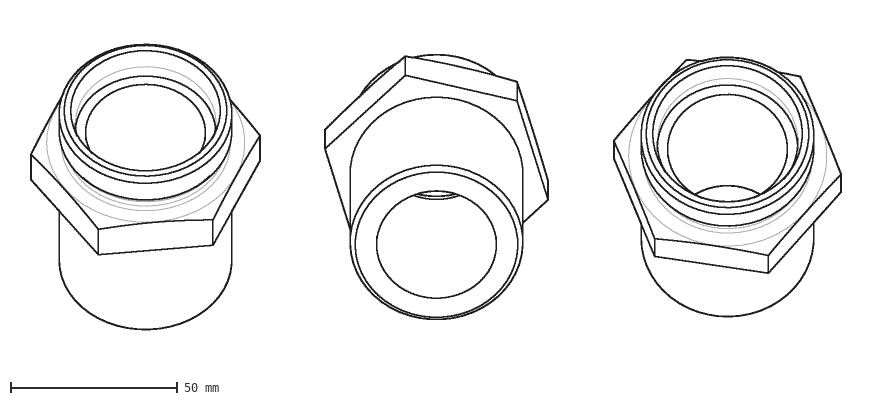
import cadquery as cq
import math

total_height = 77.0
body_radius = 52.0 / 2
edge_chamfer = 1.55

across_flats = 60.0
across_corners = across_flats / math.cos(math.radians(30))
hex_bottom = 47.0
hex_top = 61.05
hex_crown_radius = 29.8
hex_chamfer_angle = 15.0

groove_radius = 49.0 / 2
groove_fillet = 1.0
head_bottom = 67.1
groove_taper_angle = 30.0

bore_radius = 36.0 / 2
socket_radius = 42.3 / 2
socket_depth = 11.0
mouth_radius = 22.5
mouth_depth = 6.15


def make_body():
    """Round body with chamfered ends and an undercut above the collar."""
    taper_angle = math.radians(groove_taper_angle)
    taper_bottom = head_bottom - (body_radius - groove_radius) / math.tan(taper_angle)
    tangent = groove_fillet * math.tan(taper_angle / 2)
    end_radius = body_radius - edge_chamfer
    fillet_mid = groove_fillet * (1 - math.sqrt(0.5))
    return (
        cq.Workplane("XZ")
        .lineTo(end_radius, 0)
        .lineTo(body_radius, edge_chamfer)
        .lineTo(body_radius, hex_top)
        .lineTo(groove_radius + groove_fillet, hex_top)
        .threePointArc(
            (groove_radius + fillet_mid, hex_top + fillet_mid),
            (groove_radius, hex_top + groove_fillet),
        )
        .lineTo(groove_radius, taper_bottom - tangent)
        .tangentArcPoint(
            (groove_radius + tangent * math.sin(taper_angle), taper_bottom + tangent * math.cos(taper_angle)),
            relative=False,
        )
        .lineTo(body_radius, head_bottom)
        .lineTo(body_radius, total_height - edge_chamfer)
        .lineTo(end_radius, total_height)
        .lineTo(0, total_height)
        .close()
        .revolve(360, (0, 0, 0), (0, 1, 0))
    )


def make_collar():
    """Hexagon with corners on the Y axis and conically chamfered top corners."""
    corner_radius = across_corners / 2
    chamfer_drop = (corner_radius - hex_crown_radius) * math.tan(math.radians(hex_chamfer_angle))
    hexagon = (
        cq.Workplane("XY")
        .workplane(offset=hex_bottom)
        .transformed(rotate=(0, 0, 90))
        .polygon(6, across_corners)
        .extrude(hex_top - hex_bottom)
    )
    crown = (
        cq.Workplane("XZ")
        .moveTo(0, hex_bottom)
        .lineTo(corner_radius, hex_bottom)
        .lineTo(corner_radius, hex_top - chamfer_drop)
        .lineTo(hex_crown_radius, hex_top)
        .lineTo(0, hex_top)
        .close()
        .revolve(360, (0, 0, 0), (0, 1, 0))
    )
    return hexagon.intersect(crown)


def make_bore():
    """Through bore opening into a socket with a conical mouth at the top."""
    socket_floor = total_height - socket_depth
    return (
        cq.Workplane("XZ")
        .lineTo(bore_radius, 0)
        .lineTo(bore_radius, socket_floor)
        .lineTo(socket_radius, socket_floor)
        .lineTo(socket_radius, total_height - mouth_depth)
        .lineTo(mouth_radius, total_height)
        .lineTo(0, total_height)
        .close()
        .revolve(360, (0, 0, 0), (0, 1, 0))
    )


result = make_body().union(make_collar()).cut(make_bore())